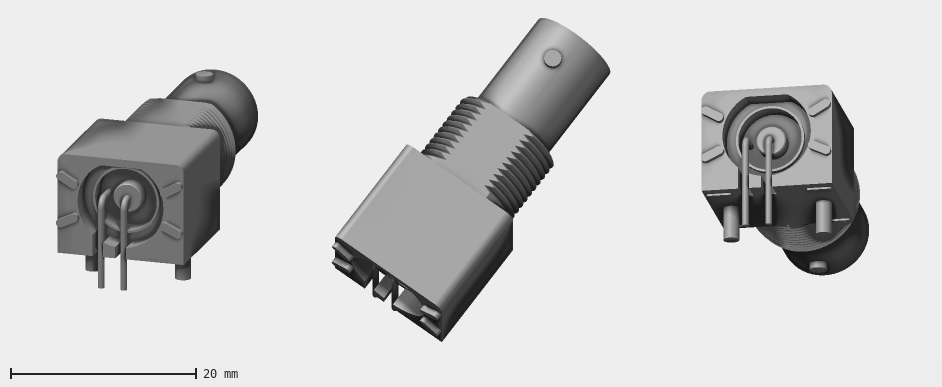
import cadquery as cq


overall_length = 34.57
rib_height = 0.65
housing_length = 13.05
thread_length = 9.0
barrel_length = overall_length - rib_height - housing_length - thread_length

housing_width = 14.3
housing_top = 5.15
housing_bottom = -6.12
housing_corner_radius = 0.97

thread_diameter = 12.27
thread_depth = 0.52
thread_pitch = 0.8
groove_width = 0.75
groove_overshoot = 0.017
thread_turns = 11
neck_flat_height = 5.05

barrel_diameter = 9.7
lug_diameter = 1.85
lug_tip_height = 5.55
lug_from_mouth = 3.9

recess_diameter = 9.7
recess_depth = 2.52
recess_flat_height = 4.3
bore_diameter = 7.0
bore_floor = 4.15
tube_diameter = 7.5
tube_height = 0.6
insulator_diameter = 3.25
insulator_face_diameter = 3.0
insulator_face_y = 2.52

pin_diameter = 0.73
pin_spacing = 2.55
pin_y = 1.2
pin_bend_radius = 1.0
pin_bottom = -10.0
pin_slot_width = 1.2

peg_diameter = 1.73
peg_x = 5.08
peg_y = 6.33
peg_bottom = -9.75

rib_length = 2.63
rib_width = 0.95
rib_x = 5.88
rear_ribs = [(2.4, 30.0), (-2.18, -25.0)]

foot_inner_x = 4.15
foot_outer_x = 6.85
foot_width = 0.3
foot_height = 0.2
foot_positions = [1.4, 12.15]


def cylinder_along_y(diameter, start, length):
    plane = cq.Workplane("XZ", origin=(0, start, 0))
    return plane.circle(diameter / 2).extrude(-length)


def box_between(x_range, y_range, z_range):
    corner = (x_range[0], y_range[0], z_range[0])
    size = [span[1] - span[0] for span in (x_range, y_range, z_range)]
    return cq.Workplane("XY", origin=corner).box(*size, centered=False)


def flatten_top(body, height):
    """Remove everything above the given height."""
    remover = (
        cq.Workplane("XY", origin=(0, 0, height))
        .rect(2 * overall_length, 2 * overall_length)
        .extrude(overall_length)
    )
    return body.cut(remover)


def make_housing():
    half_width = housing_width / 2
    block = box_between(
        (-half_width, half_width), (0, housing_length), (housing_bottom, housing_top)
    )
    return block.edges("|Y and >Z").fillet(housing_corner_radius)


def make_rear_cavity():
    recess = flatten_top(cylinder_along_y(recess_diameter, 0, recess_depth), recess_flat_height)
    cavity = recess.union(cylinder_along_y(bore_diameter, 0, bore_floor))
    for x in (-pin_spacing, 0):
        slot_sides = (x - pin_slot_width / 2, x + pin_slot_width / 2)
        slot = box_between(slot_sides, (0, recess_depth), (housing_bottom, 0))
        cavity = cavity.union(slot)
    return cavity


def make_tube():
    """Thin tube that carries the bore out past the recess floor."""
    start = recess_depth - tube_height
    tube = cylinder_along_y(tube_diameter, start, tube_height)
    return tube.cut(cylinder_along_y(bore_diameter, start, tube_height))


def make_insulator():
    """Round stub on the bore floor with a chamfered face."""
    chamfer = (insulator_diameter - insulator_face_diameter) / 2
    stub = cylinder_along_y(insulator_diameter, insulator_face_y, bore_floor - insulator_face_y)
    return stub.faces("<Y").chamfer(chamfer)


def make_thread_groove():
    """V-shaped helical groove around Z, leaving a crest at the top end of the thread."""
    crest_radius = thread_diameter / 2
    root_radius = crest_radius - thread_depth
    outer_radius = crest_radius + groove_overshoot
    outer_half_width = groove_width / 2 * (1 + groove_overshoot / thread_depth)
    start = thread_length - (thread_turns - 0.5) * thread_pitch
    path = cq.Wire.makeHelix(thread_pitch, thread_turns * thread_pitch, crest_radius)
    groove = (
        cq.Workplane("XZ")
        .moveTo(root_radius, 0)
        .lineTo(outer_radius, outer_half_width)
        .lineTo(outer_radius, -outer_half_width)
        .close()
        .sweep(cq.Workplane(obj=path), isFrenet=True)
    )
    return groove.translate((0, 0, start))


def make_neck():
    """Threaded neck, cut upright and laid along Y so that the groove starts at the bottom."""
    blank = cq.Workplane("XY").circle(thread_diameter / 2).extrude(thread_length)
    blank = blank.rotate((0, 0, 0), (0, 0, 1), 90)
    neck = (
        blank.cut(make_thread_groove())
        .rotate((0, 0, 0), (0, 0, 1), 90)
        .rotate((0, 0, 0), (1, 0, 0), -90)
        .translate((0, housing_length, 0))
    )
    return flatten_top(neck, neck_flat_height)


def make_barrel():
    mouth = housing_length + thread_length + barrel_length
    barrel = cylinder_along_y(barrel_diameter, housing_length, thread_length + barrel_length)
    lugs = (
        cq.Workplane("XY", origin=(0, mouth - lug_from_mouth, -lug_tip_height))
        .circle(lug_diameter / 2)
        .extrude(2 * lug_tip_height)
    )
    return barrel.union(lugs)


def make_pin(x):
    """Round pin leaving the bore floor along -Y and bending down."""
    bend_end = (pin_y, -pin_bend_radius)
    bend_start_y = pin_y + pin_bend_radius
    horizontal = (
        cq.Workplane("XZ", origin=(x, bend_start_y, 0))
        .circle(pin_diameter / 2)
        .extrude(bend_start_y - bore_floor)
    )
    vertical = (
        cq.Workplane("XY", origin=(x, *bend_end))
        .circle(pin_diameter / 2)
        .extrude(pin_bottom + pin_bend_radius)
    )
    bend = (
        cq.Workplane("XY", origin=(x, *bend_end))
        .circle(pin_diameter / 2)
        .revolve(90, (0, pin_bend_radius, 0), (-1, pin_bend_radius, 0))
    )
    return horizontal.union(bend).union(vertical)


def make_pegs():
    return (
        cq.Workplane("XY", origin=(0, peg_y, peg_bottom))
        .pushPoints([(-peg_x, 0), (peg_x, 0)])
        .circle(peg_diameter / 2)
        .extrude(housing_bottom - peg_bottom)
    )


def make_rear_rib(side, height, tilt):
    plane = cq.Workplane("XZ").center(side * rib_x, height)
    return plane.slot2D(rib_length, rib_width, side * tilt).extrude(rib_height)


def make_foot(side, y):
    length = foot_outer_x - foot_inner_x
    middle = side * (foot_outer_x + foot_inner_x) / 2
    top = cq.Workplane("XY", origin=(middle, y, housing_bottom))
    return top.slot2D(length, foot_width).extrude(-foot_height)


result = make_housing().union(make_neck()).union(make_barrel()).cut(make_rear_cavity())
result = result.union(make_tube()).union(make_insulator()).union(make_pegs())
for pin_x in (-pin_spacing, 0):
    result = result.union(make_pin(pin_x))
for side in (-1, 1):
    for rib_z, rib_tilt in rear_ribs:
        result = result.union(make_rear_rib(side, rib_z, rib_tilt))
    for foot_y in foot_positions:
        result = result.union(make_foot(side, foot_y))